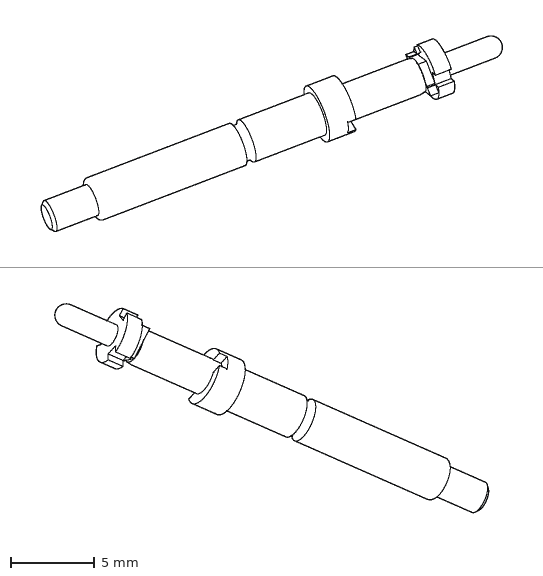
import cadquery as cq

length = 30.3
collar_diameter = 3.6

plunger_radius = 0.7
head_radius = 1.75
neck_radius = 1.1
sleeve_radius = 1.15
collar_radius = collar_diameter / 2
barrel_radius = 1.35
tail_radius = 1.0

tail_front = 3.0
groove_center = 13.0
barrel_front = 18.0
collar_front = 19.8
sleeve_front = 24.42
drive_rear = 24.75
head_rear = 25.3
head_front = 26.35

tail_chamfer = 0.2
barrel_round = 0.25
groove_depth = 0.2
groove_half_width = 0.3

drive_half_width = 1.73
drive_half_height = neck_radius

head_slot_width = 0.82
head_slot_floor = 1.2
head_slot_angles = (30, 150, 270)
collar_slot_width = 1.03
collar_slot_depth = 0.55


def rod(radius, rear, front):
    """Cylinder on the Y axis between two Y positions."""
    return cq.Workplane("XZ", origin=(0, rear, 0)).circle(radius).extrude(rear - front)


def turned_body():
    """Tail, grooved barrel, collar, sleeve, tapered neck and round-nosed plunger as one revolve."""
    dome_start = length - plunger_radius
    profile = (
        cq.Workplane("XY")
        .moveTo(0, 0)
        .lineTo(tail_radius - tail_chamfer, 0)
        .lineTo(tail_radius, tail_chamfer)
        .lineTo(tail_radius, tail_front)
        .lineTo(barrel_radius - barrel_round, tail_front)
        .tangentArcPoint((barrel_radius, tail_front + barrel_round), relative=False)
        .lineTo(barrel_radius, groove_center - groove_half_width)
        .threePointArc(
            (barrel_radius - groove_depth, groove_center),
            (barrel_radius, groove_center + groove_half_width),
        )
        .lineTo(barrel_radius, barrel_front)
        .lineTo(collar_radius, barrel_front)
        .lineTo(collar_radius, collar_front)
        .lineTo(sleeve_radius, collar_front)
        .lineTo(sleeve_radius, sleeve_front)
        .lineTo(neck_radius, drive_rear)
        .lineTo(plunger_radius, drive_rear)
        .lineTo(plunger_radius, dome_start)
        .tangentArcPoint((0, length), relative=False)
        .close()
    )
    return profile.revolve(360, (0, 0, 0), (0, 1, 0))


def head():
    """Disc with a rhombic drive section behind it, both cut by three radial slots."""
    drive_corners = [
        (drive_half_width, 0),
        (0, drive_half_height),
        (-drive_half_width, 0),
        (0, -drive_half_height),
    ]
    drive = (
        cq.Workplane("XZ", origin=(0, drive_rear, 0))
        .polyline(drive_corners)
        .close()
        .extrude(drive_rear - head_rear)
    )
    blank = rod(head_radius, head_rear, head_front).union(drive)
    slot = cq.Workplane("XY").box(
        head_radius,
        head_front - drive_rear,
        head_slot_width,
        centered=(False, False, True),
    ).translate((head_slot_floor, drive_rear, 0))
    for angle in head_slot_angles:
        blank = blank.cut(slot.rotate((0, 0, 0), (0, 1, 0), -angle))
    return blank


def collar_slots():
    """Two opposite slots on the X sides of the collar, down to the sleeve surface."""
    across = cq.Workplane("XY").box(
        2 * collar_radius,
        collar_slot_depth,
        collar_slot_width,
        centered=(True, False, True),
    ).translate((0, collar_front - collar_slot_depth, 0))
    core = rod(sleeve_radius, collar_front - collar_slot_depth, collar_front)
    return across.cut(core)


result = turned_body().cut(collar_slots()).union(head())